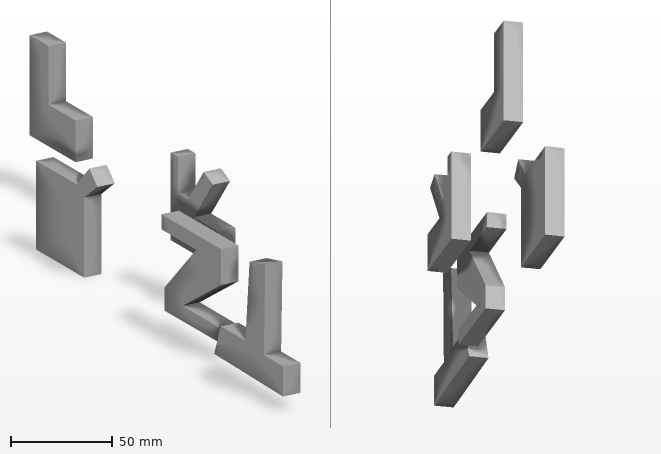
import cadquery as cq

thickness = 10.0
total_length = 332.7
total_height = 81.0
total_depth = 64.5


def upright_plate(outline, front_y):
    """Extrude an XZ outline backwards (+Y) from its front face."""
    return cq.Workplane("XZ", origin=(0, front_y, 0)).polyline(outline).close().extrude(-thickness)


def make_angle_plate():
    """L-shaped plate: an upright leg on the left of a low foot."""
    front_y = total_depth - thickness
    foot_length = 44.0
    leg_width = 18.0
    bottom = 28.0
    foot_top = 50.0
    return upright_plate(
        [
            (0, bottom),
            (foot_length, bottom),
            (foot_length, foot_top),
            (leg_width, foot_top),
            (leg_width, total_height),
            (0, total_height),
        ],
        front_y,
    )


def make_spout_plate():
    """Nearly square plate with a slanted arm at its top right corner."""
    front_y = 13.0
    left = 75.2
    right = left + 46.0
    top = 47.0
    arm_root_x = 113.8
    arm_root_z = 42.3
    arm_upper_tip = (126.0, 59.2)
    arm_lower_tip = (133.8, 52.0)
    return upright_plate(
        [
            (left, 0),
            (right, 0),
            (right, arm_root_z),
            arm_lower_tip,
            arm_upper_tip,
            (arm_root_x, top),
            (left, top),
        ],
        front_y,
    )


def make_forked_plate():
    """Block with a narrow upright prong and a slanted prong."""
    front_y = 37.0
    left = 164.0
    right = left + 45.3
    bottom = 29.0
    top = 75.2
    prong_right = left + 7.0
    notch_floor = 56.0
    notch_right = 180.7
    block_top = 48.2
    slant_root_x = 186.3
    slant_left_tip_x = 195.5
    slant_right_tip = (204.3, 71.2)
    return upright_plate(
        [
            (left, bottom),
            (right, bottom),
            (right, block_top),
            (slant_root_x, block_top),
            slant_right_tip,
            (slant_left_tip_x, top),
            (notch_right, notch_floor),
            (prong_right, notch_floor),
            (prong_right, top),
            (left, top),
        ],
        front_y,
    )


def make_zigzag_plate():
    """Z-shaped plate: two level bars of equal height joined by a tapered diagonal."""
    front_y = 8.0
    bar_height = 8.0
    bottom = 11.0
    top = 61.0
    upper_left = 203.3
    upper_right = 260.2
    lower_left = 206.3
    lower_right = 257.2
    upper_inner_x = 236.5
    lower_inner_x = 223.3
    diagonal_right_z = 42.0
    diagonal_left_z = 23.3
    return upright_plate(
        [
            (lower_left, bottom),
            (lower_right, bottom),
            (lower_right, bottom + bar_height),
            (lower_inner_x, bottom + bar_height),
            (upper_right, diagonal_right_z),
            (upper_right, top),
            (upper_left, top),
            (upper_left, top - bar_height),
            (upper_inner_x, top - bar_height),
            (lower_left, diagonal_left_z),
        ],
        front_y,
    )


def make_tee_plate():
    """Inverted T with a slanted left end and a tapered, slant-topped stem."""
    front_y = 0.0
    left_toe = (267.0, 9.3)
    right_bottom = 8.0
    left_shoulder_x = 273.5
    left_foot_top = 26.0
    right_foot_top = 24.0
    stem_left_x = 296.8
    stem_right_x = 314.5
    stem_left_tip = (300.8, 69.0)
    stem_right_tip = (315.8, 72.0)
    return upright_plate(
        [
            left_toe,
            (total_length, right_bottom),
            (total_length, right_foot_top),
            (stem_right_x, right_foot_top),
            stem_right_tip,
            stem_left_tip,
            (stem_left_x, left_foot_top),
            (left_shoulder_x, left_foot_top),
        ],
        front_y,
    )


angle_plate = make_angle_plate()
spout_plate = make_spout_plate()
forked_plate = make_forked_plate()
zigzag_plate = make_zigzag_plate()
tee_plate = make_tee_plate()

result = cq.Compound.makeCompound(
    [
        angle_plate.val(),
        spout_plate.val(),
        forked_plate.val(),
        zigzag_plate.val(),
        tee_plate.val(),
    ]
)